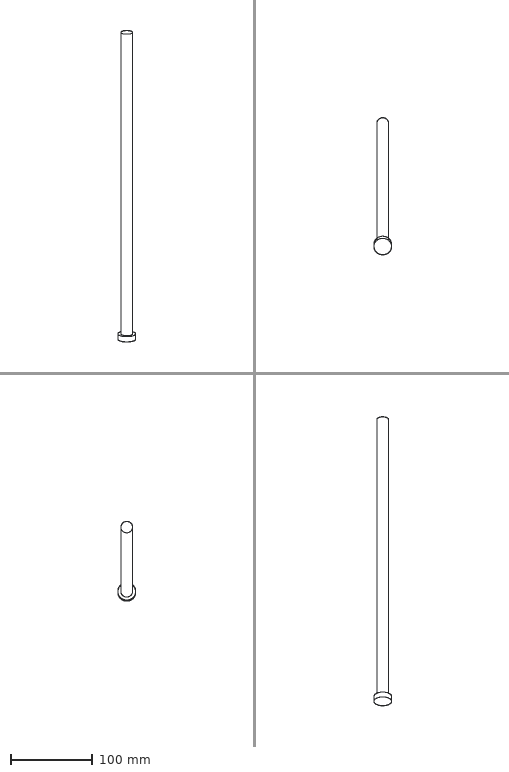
import cadquery as cq

total_length = 400.0
head_diameter = 22.0
head_height = 7.0
shank_diameter = 14.5

head = cq.Workplane("XY").circle(head_diameter / 2).extrude(head_height)
shank = cq.Workplane("XY").circle(shank_diameter / 2).extrude(total_length)

result = head.union(shank)